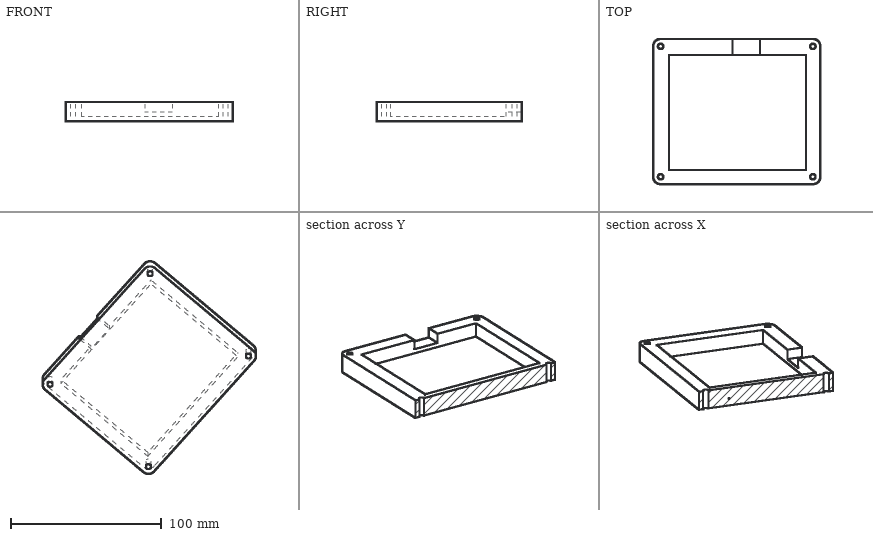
import cadquery as cq

length = 111.2
width = 96.7
height = 13.0
corner_radius = 5.0

pocket_length = 91.1
pocket_width = 76.5
left_wall = 10.7
front_wall = 9.5
floor_thickness = 3.3

notch_length = 18.5
notch_left = 52.7
notch_depth = 6.7

hole_diameter = 3.5


def box_at(size, corner):
    """Axis-aligned box with its lowest corner at the given point."""
    return cq.Workplane("XY").box(*size, centered=False).translate(corner)


body = box_at((length, width, height), (0, 0, 0)).edges("|Z").fillet(corner_radius)

pocket = box_at(
    (pocket_length, pocket_width, height - floor_thickness),
    (left_wall, front_wall, floor_thickness),
)

pocket_rear = front_wall + pocket_width
notch = box_at(
    (notch_length, width - pocket_rear, notch_depth),
    (notch_left, pocket_rear, height - notch_depth),
)

hole_centers = [
    (x, y)
    for x in (corner_radius, length - corner_radius)
    for y in (corner_radius, width - corner_radius)
]
holes = (
    cq.Workplane("XY")
    .pushPoints(hole_centers)
    .circle(hole_diameter / 2)
    .extrude(height)
)

result = body.cut(pocket).cut(notch).cut(holes)